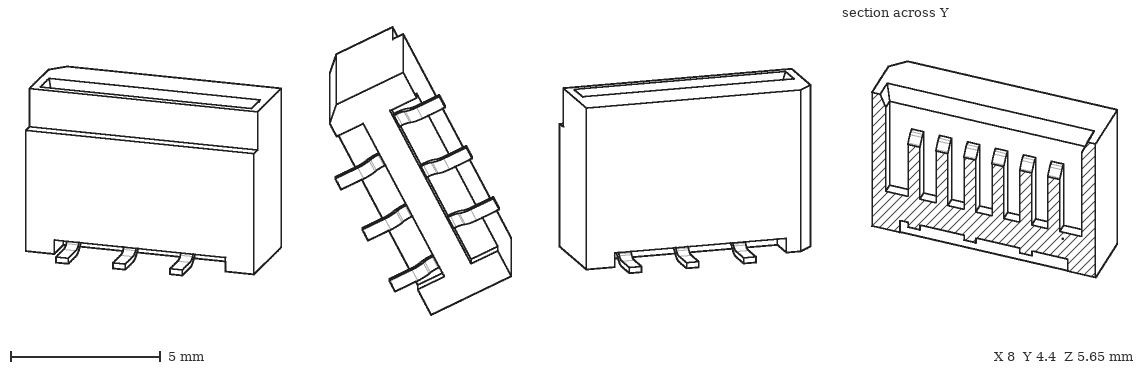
import math

import cadquery as cq

housing_length = 8.0
housing_width = 3.0
housing_height = 5.6
lead_span = 4.4

ledge_depth = 0.4
ledge_drop = 1.34
corner_chamfer = 0.5
notch_length = 6.0
notch_height = 0.5
notch_depth = 1.0

mouth_length = 7.4
mouth_back = 0.12
mouth_front = -0.83
slot_length = 7.0
slot_back = -0.18
slot_front = -0.59
slot_depth = 4.0
end_slope_depth = 0.5
front_slope_depth = 0.9

pin_count = 6
pin_pitch = 1.0
pin_width = 0.43
lead_thickness = 0.2
lead_drop = 0.05
lead_flat = 0.85
bend_radius = 0.4
bend_angle = 45.0

contact_nose = -0.55
contact_top = 4.16
crown_start = -0.26
round_radius = 0.26
top_slope = 30.0
face_slope = 54.0

half_width = housing_width / 2
slot_floor = housing_height - slot_depth


def extrude_along_x(profile, length, x_middle):
    """Extrude a profile drawn in the YZ plane by length, centred on x_middle."""
    return profile.extrude(length / 2, both=True).translate((x_middle, 0, 0))


def make_housing():
    """Block with one chamfered corner, a ledge along the front and a notch under each long side."""
    block = (
        cq.Workplane("XY")
        .box(housing_length, housing_width, housing_height, centered=(True, True, False))
        .edges("|Z and <X and >Y")
        .chamfer(corner_chamfer)
    )
    ledge = (
        cq.Workplane("XY")
        .box(housing_length, ledge_depth, ledge_drop, centered=(True, False, False))
        .translate((0, -half_width, housing_height - ledge_drop))
    )
    block = block.cut(ledge)
    for side in (-1, 1):
        notch = (
            cq.Workplane("XY")
            .box(notch_length, notch_depth, notch_height, centered=(True, True, False))
            .translate((0, side * (half_width - notch_depth / 2), 0))
        )
        block = block.cut(notch)
    return block


def make_slot():
    """Slot volume: a cross-section across the width, limited by the sloped ends."""
    across = (
        cq.Workplane("YZ")
        .moveTo(mouth_back, housing_height)
        .lineTo(slot_back, housing_height - end_slope_depth)
        .lineTo(slot_back, slot_floor)
        .lineTo(slot_front, slot_floor)
        .lineTo(slot_front, housing_height - front_slope_depth)
        .lineTo(mouth_front, housing_height)
        .close()
    )
    along = (
        cq.Workplane("XZ")
        .moveTo(-mouth_length / 2, housing_height)
        .lineTo(-slot_length / 2, housing_height - end_slope_depth)
        .lineTo(-slot_length / 2, slot_floor)
        .lineTo(slot_length / 2, slot_floor)
        .lineTo(slot_length / 2, housing_height - end_slope_depth)
        .lineTo(mouth_length / 2, housing_height)
        .close()
    )
    return extrude_along_x(across, mouth_length, 0).intersect(along.extrude(half_width, both=True))


def make_contact(x_middle):
    """Contact head on the back wall of the slot: sloped top, rounded crown, steep face and rounded nose."""
    upper = math.radians(top_slope)
    lower = math.radians(face_slope)
    vertical = math.pi / 2
    crown_top_z = contact_top - (slot_back - crown_start) * math.tan(upper)
    crown_centre = (
        crown_start + round_radius * math.sin(upper),
        crown_top_z - round_radius * math.cos(upper),
    )
    nose_centre_y = contact_nose + round_radius
    centre_drop = (crown_centre[0] - nose_centre_y) * math.tan(lower)
    nose_centre = (nose_centre_y, crown_centre[1] - centre_drop)

    def on_round(centre, slope):
        return (centre[0] - round_radius * math.sin(slope), centre[1] + round_radius * math.cos(slope))

    profile = (
        cq.Workplane("YZ")
        .moveTo(slot_back, slot_floor)
        .lineTo(slot_back, contact_top)
        .lineTo(*on_round(crown_centre, upper))
        .threePointArc(on_round(crown_centre, (upper + lower) / 2), on_round(crown_centre, lower))
        .lineTo(*on_round(nose_centre, lower))
        .threePointArc(on_round(nose_centre, (lower + vertical) / 2), on_round(nose_centre, vertical))
        .lineTo(contact_nose, slot_floor)
        .close()
    )
    return extrude_along_x(profile, pin_width, x_middle)


def make_lead(x_middle, side):
    """Lead on the given Y side: a flat foot, an S-bend and a flat tail under the notch ceiling."""
    angle = math.radians(bend_angle)
    outer_radius = bend_radius + lead_thickness
    foot_top = lead_thickness - lead_drop
    arcs_rise = (bend_radius + outer_radius) * (1 - math.cos(angle))
    slope_rise = notch_height - foot_top - arcs_rise
    arcs_run = (bend_radius + outer_radius) * math.sin(angle)
    foot_end = lead_span / 2 - lead_flat
    tail_start = foot_end - arcs_run - slope_rise / math.tan(angle)
    tail_end = half_width - notch_depth
    tail_bottom = notch_height - lead_thickness
    foot_centre_z = foot_top + bend_radius
    tail_centre_z = tail_bottom - bend_radius

    def on_lower_bend(radius, turn):
        return (foot_end - radius * math.sin(turn), foot_centre_z - radius * math.cos(turn))

    def on_upper_bend(radius, turn):
        return (tail_start + radius * math.sin(turn), tail_centre_z + radius * math.cos(turn))

    profile = (
        cq.Workplane("YZ")
        .moveTo(lead_span / 2, -lead_drop)
        .lineTo(lead_span / 2, foot_top)
        .lineTo(foot_end, foot_top)
        .threePointArc(on_lower_bend(bend_radius, angle / 2), on_lower_bend(bend_radius, angle))
        .lineTo(*on_upper_bend(outer_radius, angle))
        .threePointArc(on_upper_bend(outer_radius, angle / 2), on_upper_bend(outer_radius, 0))
        .lineTo(tail_end, notch_height)
        .lineTo(tail_end, tail_bottom)
        .lineTo(tail_start, tail_bottom)
        .threePointArc(on_upper_bend(bend_radius, angle / 2), on_upper_bend(bend_radius, angle))
        .lineTo(*on_lower_bend(outer_radius, angle))
        .threePointArc(on_lower_bend(outer_radius, angle / 2), on_lower_bend(outer_radius, 0))
        .close()
    )
    lead = extrude_along_x(profile, pin_width, x_middle)
    return lead if side > 0 else lead.mirror("XZ")


result = make_housing().cut(make_slot())
for pin in range(pin_count):
    pin_x = (pin - (pin_count - 1) / 2) * pin_pitch
    lead_side = -1 if pin % 2 == 0 else 1
    result = result.union(make_contact(pin_x))
    result = result.union(make_lead(pin_x, lead_side))